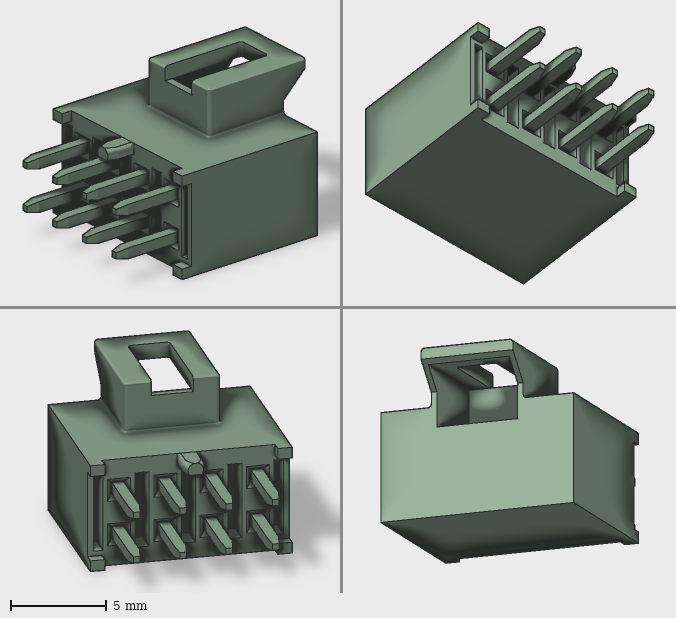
import cadquery as cq

CUT_MARGIN = 0.14

HOUSING_WIDTH = 10.95
HOUSING_DEPTH = 8.46
HOUSING_HEIGHT = 5.98
FOOT_WIDTH = 0.78
FOOT_LENGTH = 0.62
FOOT_HEIGHT = 0.6

PITCH = 2.51
COLUMNS = 4
ROWS = 2

PIN_SIZE = 0.63
PIN_TIP_SIZE = 0.36
PIN_PROTRUSION = 3.83
PIN_TIP_LENGTH = 0.69
PIN_EMBEDDED_LENGTH = 4.12
FUNNEL_MOUTH = 1.25
FUNNEL_DEPTH = 0.3

SLOT_WIDTH = 0.75
END_SLOT_WIDTH = 0.51
END_SLOT_OFFSET = 4.89
SLOT_HEIGHT = 4.2
SLOT_DEPTH = 1.37

HOOD_WIDTH = 5.22
HOOD_HEIGHT = 2.86
HOOD_FRONT = 3.46
HOOD_OVERHANG = 1.44
HOOD_LIP_HEIGHT = 0.59
HOOD_RADIUS = 0.2
HOOD_ROOF_THICKNESS = 0.85
HOOD_SIDE_WALL = 0.32
HOOD_FRONT_WALL = 0.48
CHANNEL_DEPTH = 1.1
WINDOW_WIDTH = 2.27
WINDOW_REAR = 8.6

PEG_RADIUS = 0.59
PEG_TIP_RADIUS = 0.43
PEG_LENGTH = 1.61
PEG_STRAIGHT_END = 1.05
PEG_ROOT_RADIUS = 0.14
PEG_ROOT_WIDTH = 1.26
PEG_HEIGHT = 0.66
PEG_AXIS_DROP = 0.41

HOOD_TOP = HOUSING_HEIGHT + HOOD_HEIGHT
HOOD_REAR = HOUSING_DEPTH + HOOD_OVERHANG
ROOF_UNDERSIDE = HOOD_TOP - HOOD_ROOF_THICKNESS
CHANNEL_FRONT = HOOD_FRONT + HOOD_FRONT_WALL
MID_HEIGHT = HOUSING_HEIGHT / 2
PIN_PLACES = [
    ((column - (COLUMNS - 1) / 2) * PITCH, MID_HEIGHT + (row - (ROWS - 1) / 2) * PITCH)
    for row in range(ROWS)
    for column in range(COLUMNS)
]


def box(x_range, y_range, z_range):
    """Axis-aligned block between the given limits."""
    (x0, x1), (y0, y1), (z0, z1) = x_range, y_range, z_range
    return cq.Workplane("XY").box(x1 - x0, y1 - y0, z1 - z0, centered=False).translate((x0, y0, z0))


def centred_box(width, y_range, z_range):
    """Axis-aligned block centred on X = 0."""
    return box((-width / 2, width / 2), y_range, z_range)


def square_frustum(place, y_start, start_size, y_end, end_size):
    """Square section that changes size along Y, centred on an (x, z) place."""
    x, z = place
    return (
        cq.Workplane("XZ", origin=(x, y_start, z))
        .rect(start_size, start_size)
        .workplane(offset=y_start - y_end)
        .rect(end_size, end_size)
        .loft(ruled=True)
    )


def square_bar(place, y_start, y_end):
    """Straight bar of pin section along Y."""
    x, z = place
    half = PIN_SIZE / 2
    return box((x - half, x + half), (y_start, y_end), (z - half, z + half))


def make_hood():
    """Latch hood with a sloped underside behind the housing, before it is hollowed."""
    lip_bottom = HOOD_TOP - HOOD_LIP_HEIGHT
    hood = (
        cq.Workplane("YZ", origin=(-HOOD_WIDTH / 2, 0, 0))
        .moveTo(HOOD_FRONT, MID_HEIGHT)
        .lineTo(HOOD_FRONT, HOOD_TOP)
        .lineTo(HOOD_REAR, HOOD_TOP)
        .lineTo(HOOD_REAR, lip_bottom)
        .lineTo(HOUSING_DEPTH, lip_bottom - HOOD_OVERHANG)
        .lineTo(HOUSING_DEPTH, MID_HEIGHT)
        .close()
        .extrude(HOOD_WIDTH)
    )
    front_corners = hood.faces("<Y").edges("|Z").vals()
    top_sides = hood.faces(">Z").edges("|Y").vals()
    top_front = hood.faces(">Z").edges("<Y").vals()
    return hood.newObject(front_corners + top_sides + top_front).fillet(HOOD_RADIUS)


def add_hood(block):
    """Join the hood to the block and round the junction on its front and sides."""
    joined = block.union(make_hood())
    reach = HOOD_WIDTH / 2 + HOOD_RADIUS
    junction = cq.selectors.BoxSelector(
        (-reach, HOOD_FRONT - HOOD_RADIUS, HOUSING_HEIGHT - HOOD_RADIUS),
        (reach, HOUSING_DEPTH - HOOD_RADIUS, HOUSING_HEIGHT + HOOD_RADIUS),
    )
    return joined.edges(junction).fillet(HOOD_RADIUS)


def hood_channel():
    """Latch channel under the hood roof, open to the rear."""
    return centred_box(
        HOOD_WIDTH - 2 * HOOD_SIDE_WALL,
        (CHANNEL_FRONT, HOOD_REAR + CUT_MARGIN),
        (HOUSING_HEIGHT - CHANNEL_DEPTH, ROOF_UNDERSIDE),
    )


def hood_window():
    """Roof window that also notches the hood's front wall, with rounded rear corners."""
    window = centred_box(
        WINDOW_WIDTH,
        (HOOD_FRONT - CUT_MARGIN, WINDOW_REAR),
        (ROOF_UNDERSIDE, HOOD_TOP + CUT_MARGIN),
    )
    return window.faces(">Y").edges("|Z").fillet(HOOD_RADIUS)


def make_feet():
    """Standoff feet at the four corners of the front face."""
    inner = HOUSING_WIDTH / 2 - FOOT_WIDTH
    feet = []
    for x in (-HOUSING_WIDTH / 2, inner):
        for z in (0, HOUSING_HEIGHT - FOOT_HEIGHT):
            feet.append(box((x, x + FOOT_WIDTH), (-FOOT_LENGTH, 0), (z, z + FOOT_HEIGHT)))
    return feet


def relief_slots():
    """Blind vertical slots between the columns and outside the end columns."""
    slots = [(column * PITCH, SLOT_WIDTH) for column in (-1, 0, 1)]
    slots += [(side * END_SLOT_OFFSET, END_SLOT_WIDTH) for side in (-1, 1)]
    z_range = (MID_HEIGHT - SLOT_HEIGHT / 2, MID_HEIGHT + SLOT_HEIGHT / 2)
    return [
        box((x - width / 2, x + width / 2), (-CUT_MARGIN, SLOT_DEPTH), z_range) for x, width in slots
    ]


def pin_hole(place):
    """Square pin hole with a funnel at the front face."""
    funnel = square_frustum(place, 0, FUNNEL_MOUTH, FUNNEL_DEPTH, PIN_SIZE)
    return funnel.union(square_bar(place, 0, PIN_EMBEDDED_LENGTH))


def make_housing():
    """Housing block with hood, feet, relief slots and pin holes."""
    housing = add_hood(centred_box(HOUSING_WIDTH, (0, HOUSING_DEPTH), (0, HOUSING_HEIGHT)))
    for foot in make_feet():
        housing = housing.union(foot)
    housing = housing.cut(hood_channel()).cut(hood_window())
    for slot in relief_slots():
        housing = housing.cut(slot)
    for place in PIN_PLACES:
        housing = housing.cut(pin_hole(place))
    return housing


def make_pin(place):
    """Square pin with a tapered front tip."""
    shank_end = PIN_TIP_LENGTH - PIN_PROTRUSION
    shank = square_bar(place, shank_end, PIN_EMBEDDED_LENGTH)
    tip = square_frustum(place, -PIN_PROTRUSION, PIN_TIP_SIZE, shank_end, PIN_SIZE)
    return shank.union(tip)


def make_peg():
    """Round tapered peg with a flared root, flattened flush with the housing top."""
    root_radius = PEG_RADIUS + PEG_ROOT_RADIUS
    flare_centre = (root_radius, -PEG_ROOT_RADIUS)
    flare_middle = (
        flare_centre[0] - PEG_ROOT_RADIUS * 0.5**0.5,
        flare_centre[1] + PEG_ROOT_RADIUS * 0.5**0.5,
    )
    turned = (
        cq.Workplane("XY")
        .lineTo(root_radius, 0)
        .threePointArc(flare_middle, (PEG_RADIUS, -PEG_ROOT_RADIUS))
        .lineTo(PEG_RADIUS, -PEG_STRAIGHT_END)
        .lineTo(PEG_TIP_RADIUS, -PEG_LENGTH)
        .lineTo(0, -PEG_LENGTH)
        .close()
        .revolve(360, (0, 0, 0), (0, 1, 0))
        .translate((0, 0, HOUSING_HEIGHT - PEG_AXIS_DROP))
    )
    envelope = centred_box(
        PEG_ROOT_WIDTH, (-PEG_LENGTH, 0), (HOUSING_HEIGHT - PEG_HEIGHT, HOUSING_HEIGHT)
    )
    return turned.intersect(envelope)


housing = make_housing()
pins = [make_pin(place) for place in PIN_PLACES]
peg = make_peg()

result = cq.Compound.makeCompound([housing.val(), *[pin.val() for pin in pins], peg.val()])